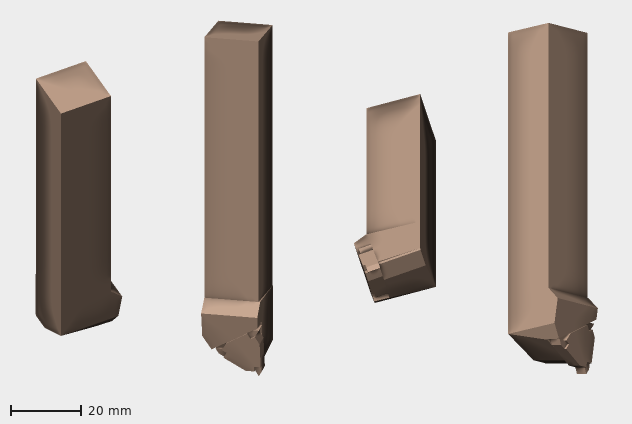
import cadquery as cq
import math

overall_height = 100.3
shank_side = 16.0

head_rear = 19.6
head_shoulder_z = 22.4
side_step_front = 0.1
side_step_rear = 0.6
front_bottom_z = 5.8
front_bevel_start_x = 5.5
left_chamfer_x = 0.3
left_chamfer_height = 0.4
front_bevel_end_z = 11.6
flank_bottom_x = 12.9
flank_bottom_z = 6.9

tilt = math.radians(10)
corner_count = 3
corner_angle = 360 / corner_count
insert_thickness = 4.4
insert_inradius = 4.8
insert_overhang = 0.9
tooth_tip_radius = 7.5
tooth_half_width = 0.9
tooth_inner_width = 1.0
tooth_outer_height = 1.5
tooth_inner_height = 1.8
rake_recess_depth = 0.7
rake_recess_height = 3.3

cut_overrun = 10.0

pocket_clearance = 0.2

shoulder_drop = head_rear - shank_side
rear_corner_z = head_shoulder_z - shoulder_drop
insert_base_z = -rake_recess_depth * math.sin(tilt)
insert_base_y = head_rear - (rear_corner_z - insert_base_z) * math.tan(tilt)
insert_centre_x = insert_inradius - insert_overhang

insert_plane = cq.Plane(
    origin=(
        insert_centre_x,
        insert_base_y + tooth_tip_radius * math.sin(tilt),
        insert_base_z + tooth_tip_radius * math.cos(tilt),
    ),
    xDir=(1, 0, 0),
    normal=(0, -math.cos(tilt), math.sin(tilt)),
)


def rotated(point, degrees):
    """Turn a point of the insert plane about the insert centre."""
    angle = math.radians(degrees)
    x, v = point
    return (
        x * math.cos(angle) - v * math.sin(angle),
        x * math.sin(angle) + v * math.cos(angle),
    )


def corner_outline():
    """One insert corner: the tooth, then the flat that ends on the next side."""
    tip_x = -insert_inradius + tooth_half_width
    flat_v = -tooth_tip_radius + tooth_inner_height
    half_corner = math.radians(corner_angle / 4)
    flat_end_x = (insert_inradius + flat_v * math.cos(half_corner)) / math.sin(half_corner)
    return [
        (-insert_inradius, -tooth_tip_radius + tooth_outer_height),
        (tip_x, -tooth_tip_radius),
        (tip_x + tooth_inner_width, flat_v),
        (flat_end_x, flat_v),
    ]


def make_insert():
    outline = []
    for corner in range(corner_count):
        outline += [rotated(point, corner * corner_angle) for point in corner_outline()]
    insert = cq.Workplane(insert_plane).polyline(outline).close().extrude(insert_thickness)

    recess_right = -insert_inradius + tooth_half_width + tooth_inner_width
    recess_top = -tooth_tip_radius + rake_recess_height
    recess_outline = [
        (-insert_inradius, -tooth_tip_radius),
        (recess_right, -tooth_tip_radius),
        (recess_right, recess_top),
        (-insert_inradius, recess_top),
    ]
    for corner in range(corner_count):
        points = [rotated(point, corner * corner_angle) for point in recess_outline]
        recess = cq.Workplane(insert_plane).polyline(points).close().extrude(rake_recess_depth)
        insert = insert.cut(recess)
    return insert


def make_shank():
    return (
        cq.Workplane("XY")
        .workplane(offset=head_shoulder_z)
        .rect(shank_side, shank_side, centered=False)
        .extrude(overall_height - head_shoulder_z)
    )


def make_head():
    profile = (
        cq.Workplane("YZ", origin=(-side_step_rear, 0, 0))
        .polyline([
            (0, 0),
            (head_rear - rear_corner_z * math.tan(tilt), 0),
            (head_rear, rear_corner_z),
            (shank_side, head_shoulder_z),
            (0, head_shoulder_z),
        ])
        .close()
        .extrude(shank_side + side_step_rear)
    )
    plan = (
        cq.Workplane("XY")
        .polyline([
            (-side_step_front, 0),
            (shank_side, 0),
            (shank_side, head_rear),
            (-side_step_rear, head_rear),
        ])
        .close()
        .extrude(head_shoulder_z)
    )
    return profile.intersect(plan).cut(make_bottom_relief()).cut(make_flank_relief())


def make_bottom_relief():
    """Material below the bottom faces, which fall towards the rear at the insert tilt."""
    cut_length = head_rear + cut_overrun
    fall = cut_length * math.tan(tilt)
    bevel_slope = (front_bevel_end_z - front_bottom_z) / (shank_side - front_bevel_start_x)
    right = shank_side + cut_overrun
    points = [
        (-cut_overrun, -cut_overrun),
        (right, -cut_overrun),
        (right, front_bottom_z + bevel_slope * (right - front_bevel_start_x)),
        (front_bevel_start_x, front_bottom_z),
        (left_chamfer_x, front_bottom_z),
        (-side_step_front, front_bottom_z + left_chamfer_height),
        (-cut_overrun, front_bottom_z + left_chamfer_height),
    ]
    front_wire = cq.Wire.makePolygon([cq.Vector(x, 0, z) for x, z in points], close=True)
    sweep = cq.Vector(0, cut_length, -fall)
    return cq.Workplane(cq.Solid.extrudeLinear(front_wire, [], sweep))


def make_flank_relief():
    """Corner removed below the right side, sloping in under the head."""
    slope = (shank_side - flank_bottom_x) / (front_bevel_end_z - flank_bottom_z)
    return (
        cq.Workplane("XZ")
        .polyline([
            (shank_side, front_bevel_end_z),
            (shank_side, 0),
            (shank_side - slope * front_bevel_end_z, 0),
        ])
        .close()
        .extrude(-head_rear)
    )


def make_pocket():
    """Triangular seat: walls just outside the insert, open at the left, bottom and rear."""
    wall_radius = insert_inradius + pocket_clearance
    half_side = wall_radius * math.sqrt(3)
    right_corner_x = 2 * wall_radius
    return (
        cq.Workplane(insert_plane)
        .workplane(offset=-cut_overrun)
        .polyline([
            (-wall_radius, half_side),
            (-wall_radius, -cut_overrun),
            (right_corner_x, -cut_overrun),
            (right_corner_x, 0),
        ])
        .close()
        .extrude(cut_overrun + insert_thickness)
    )


holder = make_shank().union(make_head()).cut(make_pocket())
insert = make_insert()

result = cq.Compound.makeCompound([holder.val(), insert.val()])